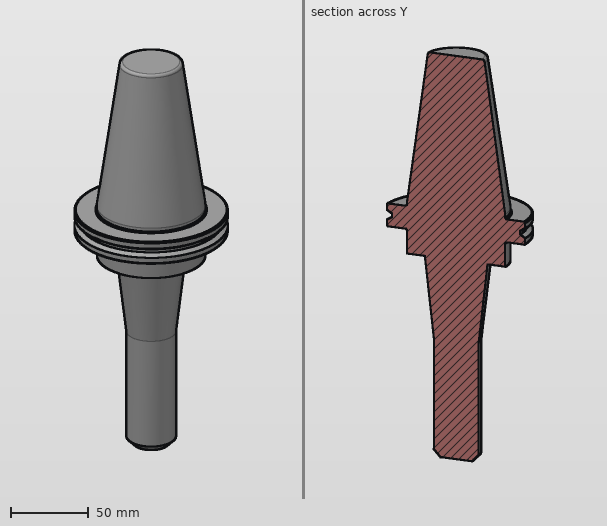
import cadquery as cq

total_height = 270.0

shank_radius = 32.0 / 2
shank_chamfer = 4.9
shank_top = 79.3
neck_top_radius = 44.8 / 2
hub_bottom = 133.0

gauge_radius = 70.0 / 2
taper_length = 101.5
taper_ratio = 7 / 24
tip_fillet = 2.2
gauge_height = total_height - taper_length
tip_radius = gauge_radius - taper_length * taper_ratio / 2

flange_radius = 98.5 / 2
flange_top = gauge_height - 3.2
flange_bottom = 149.5
flange_chamfer = 0.8
groove_radius = 91.2 / 2
groove_top = 160.5
groove_floor_top = 158.5
groove_floor_bottom = 156.3
groove_bottom = 154.0
root_chamfer = 0.8


def make_body():
    """Revolve the half outline, from the shank end up to the taper tip."""
    outline = [
        (0, 0),
        (shank_radius - shank_chamfer, 0),
        (shank_radius, shank_chamfer),
        (shank_radius, shank_top),
        (neck_top_radius, hub_bottom),
        (gauge_radius, hub_bottom),
        (gauge_radius, flange_bottom - root_chamfer),
        (gauge_radius + root_chamfer, flange_bottom),
        (flange_radius - flange_chamfer, flange_bottom),
        (flange_radius, flange_bottom + flange_chamfer),
        (flange_radius, groove_bottom),
        (groove_radius, groove_floor_bottom),
        (groove_radius, groove_floor_top),
        (flange_radius, groove_top),
        (flange_radius, flange_top - flange_chamfer),
        (flange_radius - flange_chamfer, flange_top),
        (gauge_radius + root_chamfer, flange_top),
        (gauge_radius, flange_top + root_chamfer),
        (gauge_radius, gauge_height),
        (tip_radius, total_height),
        (0, total_height),
    ]
    return cq.Workplane("XZ").polyline(outline).close().revolve(360, (0, 0, 0), (0, 1, 0))


result = make_body().faces(">Z").edges().fillet(tip_fillet)